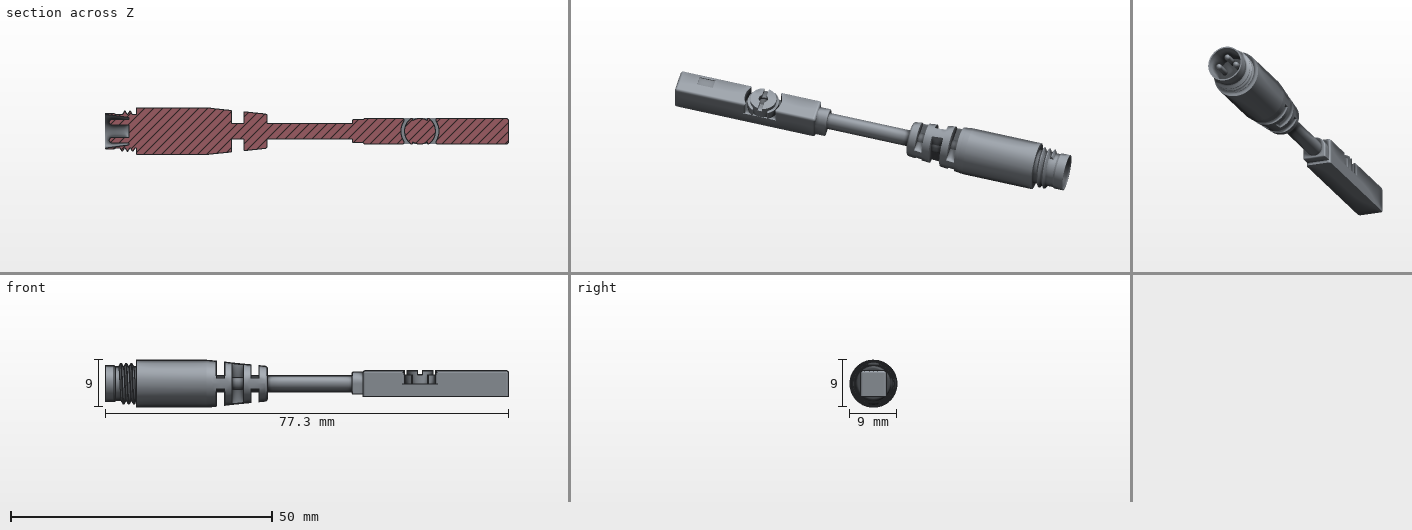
import cadquery as cq
import math

OVERALL_LENGTH = 77.27
OVERLAP = 0.05

LIP_RADIUS = 3.45
LIP_END = 1.65
LIP_TAPER_LENGTH = 0.35
THREAD_ROOT_RADIUS = 3.25
THREAD_CREST_RADIUS = 3.9
THREAD_PITCH = 1.0
THREAD_TURNS = 2.5
THREAD_START = 3.0
THREAD_BASE_WIDTH = 0.94
THREAD_CREST_WIDTH = 0.12

BORE_MOUTH_RADIUS = 3.2
BORE_FLOOR_RADIUS = 2.6
BORE_DEPTH = 4.5
PIN_RADIUS = 0.55
PIN_CIRCLE_RADIUS = 1.72
PIN_TIP_X = 0.7
PIN_ANGLES = (0, 90, 180)

BODY_START = 5.95
BODY_END = 19.4
BODY_RADIUS = 4.5
BLEND_END = 20.6
BLEND_END_RADIUS = 4.38
RELIEF_END = 31.05
RELIEF_END_RADIUS = 3.3
RELIEF_ROUNDING = 0.5
WEB_HALF_THICKNESS = 1.05
VERTICAL_SLOTS = ((21.3, 22.85), (27.95, 29.4))
SIDE_SLOTS = ((24.25, 26.5),)

CABLE_RADIUS = 1.55

HOUSING_START = 49.35
HOUSING_WIDTH = 5.0
HOUSING_ROUNDING = 0.5
BOSS_START = 47.3
BOSS_RADIUS = 2.25
BOSS_BOTTOM = -2.0
BOSS_ROUNDING = 0.25

SCREW_X = 60.28
POCKET_RADIUS = 3.6
POCKET_FLOOR = -0.1
POCKET_CORNER_ROUNDING = 0.38
SCREW_RADIUS = 2.5
COLLAR_RADIUS = 3.0
COLLAR_TOP = 1.68
COLLAR_GAP = 2.86
SCREW_SLOT_WIDTH = 0.9
SCREW_SLOT_DEPTH = 0.75
SCREW_SOCKET_RADIUS = 0.9
SCREW_SOCKET_DEPTH = 1.2

WINDOW_START = 70.3
WINDOW_LENGTH = 3.1
WINDOW_WIDTH = 1.8
WINDOW_CENTER_Y = -0.85
WINDOW_DEPTH = 0.2

HOUSING_TOP = HOUSING_WIDTH / 2


def rod(start, end, radius):
    """Round bar along the X axis."""
    return cq.Workplane("YZ").workplane(offset=start).circle(radius).extrude(end - start)


def block(x_range, y_range, z_range):
    """Rectangular block given by its limits on each axis."""
    limits = (x_range, y_range, z_range)
    size = [high - low for low, high in limits]
    corner = [low for low, high in limits]
    return cq.Workplane("XY").box(*size, centered=False).translate(tuple(corner))


def post(x, radius, bottom, top):
    """Round post along Z, centred across the housing."""
    return cq.Workplane("XY", origin=(x, 0, bottom)).circle(radius).extrude(top - bottom)


def plug_shell():
    blend_middle = (BODY_END + BLEND_END) / 2
    blend_sag = (BODY_RADIUS - BLEND_END_RADIUS) / 4
    shell = (
        cq.Workplane("XY")
        .moveTo(BORE_DEPTH, 0)
        .lineTo(BORE_DEPTH, BORE_FLOOR_RADIUS)
        .lineTo(0, BORE_MOUTH_RADIUS)
        .lineTo(0, LIP_RADIUS)
        .lineTo(LIP_END, LIP_RADIUS)
        .lineTo(LIP_END + LIP_TAPER_LENGTH, THREAD_ROOT_RADIUS)
        .lineTo(BODY_START, THREAD_ROOT_RADIUS)
        .lineTo(BODY_START, BODY_RADIUS)
        .lineTo(BODY_END, BODY_RADIUS)
        .threePointArc((blend_middle, BODY_RADIUS - blend_sag), (BLEND_END, BLEND_END_RADIUS))
        .lineTo(RELIEF_END, RELIEF_END_RADIUS)
        .lineTo(RELIEF_END, 0)
        .close()
        .revolve(360, (0, 0, 0), (1, 0, 0))
    )
    return shell.faces(">X").edges().fillet(RELIEF_ROUNDING)


def thread_ridge():
    """Right-handed ridge starting on the +Z side."""
    root = THREAD_ROOT_RADIUS - OVERLAP
    helix = cq.Wire.makeHelix(THREAD_PITCH, THREAD_PITCH * THREAD_TURNS, root)
    ridge = (
        cq.Workplane("XZ")
        .moveTo(root, -THREAD_BASE_WIDTH / 2)
        .lineTo(THREAD_CREST_RADIUS, -THREAD_CREST_WIDTH / 2)
        .lineTo(THREAD_CREST_RADIUS, THREAD_CREST_WIDTH / 2)
        .lineTo(root, THREAD_BASE_WIDTH / 2)
        .close()
        .sweep(cq.Workplane(helix), isFrenet=True)
    )
    along_x = ridge.rotate((0, 0, 0), (0, 1, 0), 90).rotate((0, 0, 0), (1, 0, 0), 180)
    return along_x.translate((THREAD_START, 0, 0))


def contact_pin(angle):
    y = PIN_CIRCLE_RADIUS * math.cos(math.radians(angle))
    z = PIN_CIRCLE_RADIUS * math.sin(math.radians(angle))
    shank_start = PIN_TIP_X + PIN_RADIUS
    shank = rod(shank_start, BORE_DEPTH + OVERLAP, PIN_RADIUS)
    tip = cq.Workplane("XY").sphere(PIN_RADIUS).translate((shank_start, 0, 0))
    return shank.union(tip).translate((0, y, z))


def relief_slots():
    """Slots on both sides of the central web; the cable runs on through them."""
    reach = (WEB_HALF_THICKNESS, BODY_RADIUS)
    full = (-BODY_RADIUS, BODY_RADIUS)
    slots = cq.Workplane("XY")
    for x_range in VERTICAL_SLOTS:
        upper = block(x_range, full, reach)
        slots = slots.add(upper).add(upper.mirror("XY"))
    for x_range in SIDE_SLOTS:
        side = block(x_range, reach, full)
        slots = slots.add(side).add(side.mirror("XZ"))
    return slots.combine()


def plug():
    body = plug_shell().union(thread_ridge())
    for angle in PIN_ANGLES:
        body = body.union(contact_pin(angle))
    return body.cut(relief_slots())


def cable_boss():
    """Boss with an arched top and a flat-sided lower half."""
    boss = (
        cq.Workplane("YZ", origin=(BOSS_START, 0, 0))
        .moveTo(-BOSS_RADIUS, BOSS_BOTTOM)
        .lineTo(-BOSS_RADIUS, 0)
        .threePointArc((0, BOSS_RADIUS), (BOSS_RADIUS, 0))
        .lineTo(BOSS_RADIUS, BOSS_BOTTOM)
        .close()
        .extrude(HOUSING_START + OVERLAP - BOSS_START)
    )
    return boss.faces("<X").edges().fillet(BOSS_ROUNDING)


def screw_pocket():
    """Round pocket, wider than the housing, with rounded corners where it opens through the sides."""
    half_width = HOUSING_WIDTH / 2
    zone = block(
        (SCREW_X - HOUSING_WIDTH, SCREW_X + HOUSING_WIDTH),
        (-half_width, half_width),
        (POCKET_FLOOR, HOUSING_TOP),
    )
    corner_x = math.sqrt(POCKET_RADIUS**2 - half_width**2)
    corners = cq.selectors.BoxSelector(
        (SCREW_X - corner_x - OVERLAP, -HOUSING_WIDTH, POCKET_FLOOR),
        (SCREW_X + corner_x + OVERLAP, HOUSING_WIDTH, HOUSING_TOP),
    )
    walls = zone.cut(post(SCREW_X, POCKET_RADIUS, POCKET_FLOOR, HOUSING_TOP))
    walls = walls.edges("|Z").edges(corners).fillet(POCKET_CORNER_ROUNDING)
    return zone.cut(walls)


def housing():
    half_width = HOUSING_WIDTH / 2
    across = (-half_width, half_width)
    body = block((HOUSING_START, OVERALL_LENGTH), across, across)
    body = body.edges("|Z").fillet(HOUSING_ROUNDING)
    body = body.faces(">Z").edges().fillet(HOUSING_ROUNDING)
    window = block(
        (WINDOW_START, WINDOW_START + WINDOW_LENGTH),
        (WINDOW_CENTER_Y - WINDOW_WIDTH / 2, WINDOW_CENTER_Y + WINDOW_WIDTH / 2),
        (HOUSING_TOP - WINDOW_DEPTH, HOUSING_TOP),
    )
    return body.cut(screw_pocket()).cut(window)


def clamping_screw():
    """Slotted screw with a collar that is open in front of and behind the slot."""
    half_width = HOUSING_WIDTH / 2
    across = (-half_width, half_width)
    base = POCKET_FLOOR - OVERLAP
    side_x = (SCREW_X - POCKET_RADIUS, SCREW_X + POCKET_RADIUS)
    gap_x = (SCREW_X - COLLAR_GAP / 2, SCREW_X + COLLAR_GAP / 2)
    slot_x = (SCREW_X - SCREW_SLOT_WIDTH / 2, SCREW_X + SCREW_SLOT_WIDTH / 2)
    collar = post(SCREW_X, COLLAR_RADIUS, base, COLLAR_TOP)
    collar = collar.intersect(block(side_x, across, (base, COLLAR_TOP)))
    collar = collar.cut(block(gap_x, across, (base, COLLAR_TOP)))
    screw = post(SCREW_X, SCREW_RADIUS, base, HOUSING_TOP).union(collar)
    slot = block(slot_x, across, (HOUSING_TOP - SCREW_SLOT_DEPTH, HOUSING_TOP))
    socket = post(SCREW_X, SCREW_SOCKET_RADIUS, HOUSING_TOP - SCREW_SOCKET_DEPTH, HOUSING_TOP)
    return screw.cut(slot).cut(socket)


cable = rod(BLEND_END, HOUSING_START + OVERLAP, CABLE_RADIUS)
sensor = housing().union(clamping_screw()).union(cable_boss())
result = plug().union(cable).union(sensor)